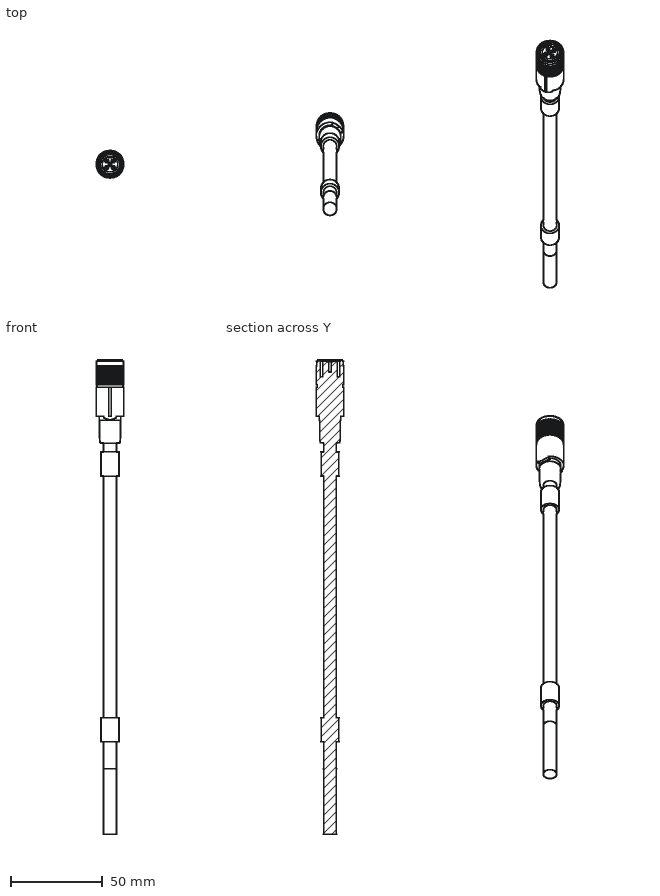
import math

import cadquery as cq

total_length = 258.2

jacket_radius = 3.6
end_sleeve_radius = 3.65
end_sleeve_length = 35.7

ferrule_radius = 5.0
ferrule_length = 13.2
ferrule_bottoms = (50.4, 195.0)

boot_bottom = 213.0
boot_radius = 5.8
boot_taper_length = 3.9
boot_end_radius = 5.5
boot_edge_fillet = 0.6
boot_collar_bottom = 225.3
boot_collar_radius = 5.9

grip_bottom = 227.5
grip_radius = 7.5
tongue_half_width = 3.4
tongue_shoulder = 0.8
tongue_drop = 2.0
marker_width = 1.1
marker_depth = 0.2

nut_bottom = 243.5
nut_radius = 7.5
collar_radius = 7.4
collar_chamfer = 0.8
neck_radius = 7.2
knurl_bottom = 244.6
knurl_top = total_length - 3.2
knurl_count = 48
knurl_depth = 0.35
knurl_half_angle = 55.0

bore_radius = 5.3
bore_lead_in = 0.7
bore_depth = 9.0
insert_radius = 4.2
insert_recess = 0.5
key_width = 1.2
key_depth = 0.8
contact_radius = 0.6
contact_circle_radius = 2.5
contact_count = 4
contact_start_angle = 45.0
contact_depth = 6.0
contact_mouth_radius = 1.0
contact_mouth_depth = 0.5


def cylinder(radius, bottom, top):
    """Solid cylinder on the Z axis."""
    return cq.Workplane("XY", origin=(0, 0, bottom)).circle(radius).extrude(top - bottom)


def make_cable():
    end_sleeve = cylinder(end_sleeve_radius, 0, end_sleeve_length)
    jacket = cylinder(jacket_radius, end_sleeve_length, grip_bottom)
    return end_sleeve.union(jacket)


def make_ferrule(bottom):
    return cylinder(ferrule_radius, bottom, bottom + ferrule_length)


def make_boot():
    """Round boot that narrows towards the cable and has a rounded lower edge."""
    taper_top = boot_bottom + boot_taper_length
    straight = cylinder(boot_radius, taper_top, nut_bottom)
    taper = (
        cq.Workplane("XY", origin=(0, 0, boot_bottom))
        .circle(boot_end_radius)
        .workplane(offset=boot_taper_length)
        .circle(boot_radius)
        .loft()
    )
    boot = straight.union(taper)
    boot = boot.faces("<Z").edges().fillet(boot_edge_fillet)
    return boot.union(cylinder(boot_collar_radius, boot_collar_bottom, nut_bottom))


def make_tongues():
    """Pointed extensions of the grip, cut from the grip's own cylinder."""
    outline = [
        (-tongue_half_width, grip_bottom),
        (-tongue_half_width, grip_bottom - tongue_shoulder),
        (0, grip_bottom - tongue_drop),
        (tongue_half_width, grip_bottom - tongue_shoulder),
        (tongue_half_width, grip_bottom),
    ]
    prism = cq.Workplane("XZ").polyline(outline).close().extrude(grip_radius, both=True)
    return prism.intersect(cylinder(grip_radius, grip_bottom - tongue_drop, grip_bottom))


def make_grip():
    grip = cylinder(grip_radius, grip_bottom, nut_bottom).union(make_tongues())
    marker_height = nut_bottom - grip_bottom
    marker = cq.Workplane("XY").box(
        marker_width, 2 * marker_depth, marker_height, centered=(True, True, False)
    )
    return grip.cut(marker.translate((0, -grip_radius, grip_bottom)))


def make_knurl_grooves():
    """Ring of V-shaped grooves running along the knurled band."""
    outer = nut_radius + knurl_depth
    groove_floor = nut_radius - knurl_depth
    half_width = (outer - groove_floor) * math.tan(math.radians(knurl_half_angle))
    grooves = []
    for index in range(knurl_count):
        groove = (
            cq.Workplane("XY", origin=(0, 0, knurl_bottom))
            .moveTo(groove_floor, 0)
            .lineTo(outer, half_width)
            .lineTo(outer, -half_width)
            .close()
            .extrude(knurl_top - knurl_bottom)
            .rotate((0, 0, 0), (0, 0, 1), (index + 0.5) * 360 / knurl_count)
        )
        grooves.append(groove)
    return grooves


def make_nut():
    neck = cylinder(neck_radius, nut_bottom, knurl_bottom)
    band = cylinder(nut_radius, knurl_bottom, knurl_top)
    for groove in make_knurl_grooves():
        band = band.cut(groove)
    collar = cylinder(collar_radius, knurl_top, total_length)
    collar = collar.faces(">Z").edges().chamfer(collar_chamfer)
    bore = cylinder(bore_radius, total_length - bore_depth, total_length)
    lead_in = (
        cq.Workplane("XY", origin=(0, 0, total_length))
        .circle(bore_radius + bore_lead_in)
        .workplane(offset=-bore_lead_in)
        .circle(bore_radius)
        .loft()
    )
    return neck.union(band).union(collar).cut(bore).cut(lead_in)


def make_insert():
    top = total_length - insert_recess
    insert = cylinder(insert_radius, total_length - bore_depth, top)
    key_slot = cq.Workplane("XY").box(
        key_width, 2 * key_depth, contact_depth, centered=(True, True, False)
    )
    insert = insert.cut(key_slot.translate((0, insert_radius, top - contact_depth)))
    face = cq.Workplane("XY", origin=(0, 0, top))
    centre_point = face.pushPoints([(0, 0)])
    ring_points = face.polarArray(
        contact_circle_radius, contact_start_angle, 360, contact_count
    )
    for points in (centre_point, ring_points):
        insert = insert.cut(points.circle(contact_radius).extrude(-contact_depth))
        insert = insert.cut(points.circle(contact_mouth_radius).extrude(-contact_mouth_depth))
    return insert


result = make_cable()
for ferrule_bottom in ferrule_bottoms:
    result = result.union(make_ferrule(ferrule_bottom))
result = result.union(make_boot()).union(make_grip()).union(make_nut()).union(make_insert())